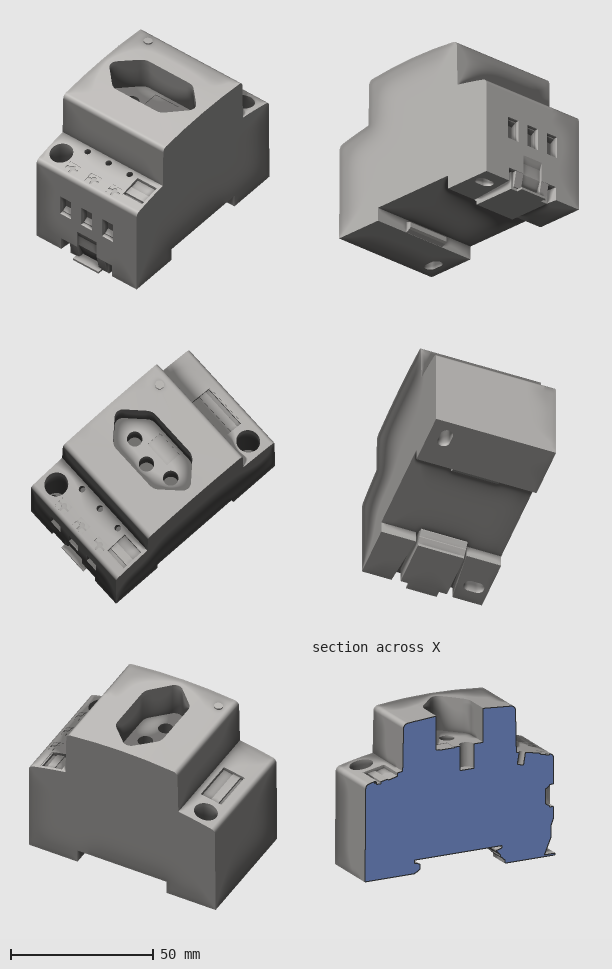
import cadquery as cq
import math

width = 45.0
top_height = 57.5
front_y = -37.4
back_foot_y = 37.6
back_shoulder_y = 37.3

block_half_foot = 22.65
block_half_top = 22.3
crown_radius = 188.7
edge_round = 1.9

shoulder_radius = 150.95
shoulder_apex = 40.6

notch_half = 17.8
notch_height = 5.05

terminal_pitch = 9.4
terminal_xs = [-terminal_pitch, 0, terminal_pitch]


def arc_height(apex, radius, y):
    """Height at y of an arc of the given radius whose highest point is at y = 0."""
    return apex - radius + math.sqrt(radius**2 - y**2)


def crown_z(y):
    return arc_height(top_height, crown_radius, y)


def crown_point(y):
    return (y, crown_z(y))


def shoulder_z(y):
    return arc_height(shoulder_apex, shoulder_radius, y)


def shoulder_point(y):
    return (y, shoulder_z(y))


def prism(points, x_min, x_max):
    """Closed Y-Z outline extruded along X."""
    return cq.Workplane("YZ").workplane(offset=x_min).polyline(points).close().extrude(x_max - x_min)


def surface_plane(x, y, z, radius):
    """Work plane lying on an arched surface, with its normal pointing out of the housing."""
    lean = math.asin(y / radius)
    return cq.Plane(origin=(x, y, z), xDir=(1, 0, 0), normal=(0, math.sin(lean), math.cos(lean)))


def housing():
    shoulder_mid = (block_half_foot - front_y) / 2
    front_corner = shoulder_point(front_y)
    block_front_corner = crown_point(-block_half_top)
    block_back_corner = crown_point(block_half_top)
    back_corner = shoulder_point(back_shoulder_y)
    outline = (
        cq.Workplane("YZ")
        .workplane(offset=-width / 2)
        .moveTo(front_y, 0)
        .lineTo(*front_corner)
        .threePointArc(shoulder_point(-shoulder_mid), shoulder_point(-block_half_foot))
        .lineTo(*block_front_corner)
        .threePointArc((0, top_height), block_back_corner)
        .lineTo(*shoulder_point(block_half_foot))
        .threePointArc(shoulder_point(shoulder_mid), back_corner)
        .lineTo(back_foot_y, 0)
        .lineTo(notch_half, 0)
        .lineTo(notch_half, notch_height)
        .lineTo(-notch_half, notch_height)
        .lineTo(-notch_half, 0)
        .close()
    )
    body = outline.extrude(width)
    for y, z in [front_corner, block_front_corner, block_back_corner, back_corner]:
        body = body.edges(cq.selectors.NearestToPointSelector((0, y, z))).fillet(edge_round)
    return body


socket_half_height = 9.3
socket_half_width = 19.9
socket_floor = 44.7
socket_corner_round = 4.5
socket_end_round = 3.0
contact_diameter = 5.4
contact_offset = 9.5
earth_y = -2.95
contact_depth = 9.05
label_size = (10.2, 5.9)
label_y = 5.05
label_depth = 0.2


def plug_socket():
    flat_half = socket_half_width - socket_half_height
    cavity = (
        cq.Workplane("XY")
        .workplane(offset=socket_floor)
        .polyline(
            [
                (-socket_half_width, 0),
                (-flat_half, socket_half_height),
                (flat_half, socket_half_height),
                (socket_half_width, 0),
                (flat_half, -socket_half_height),
                (-flat_half, -socket_half_height),
            ]
        )
        .close()
        .extrude(top_height - socket_floor)
    )
    cavity = cavity.edges("|Z and (<Y or >Y)").fillet(socket_corner_round)
    cavity = cavity.edges("|Z and (<X or >X)").fillet(socket_end_round)
    floor = cq.Workplane("XY").workplane(offset=socket_floor)
    contacts = (
        floor.pushPoints([(-contact_offset, 0), (contact_offset, 0), (0, earth_y)])
        .circle(contact_diameter / 2)
        .extrude(-contact_depth)
    )
    label = floor.center(0, label_y).rect(*label_size).extrude(-label_depth)
    return cavity.union(contacts).union(label)


button_x = -16.1
button_y = 17.5
button_diameter = 3.2
button_height = 0.6
button_root = 0.75


def button():
    base = surface_plane(button_x, button_y, crown_z(button_y), crown_radius)
    return (
        cq.Workplane(base)
        .workplane(offset=-button_root)
        .circle(button_diameter / 2)
        .extrude(button_root + button_height)
    )


well_diameter = 8.4
well_floor = 7.55
slot_length = 7.55
slot_width = 4.5


def mounting_hole(x, y, slot_angle):
    well = (
        cq.Workplane("XY", origin=(x, y, well_floor))
        .circle(well_diameter / 2)
        .extrude(top_height - well_floor)
    )
    slot = (
        cq.Workplane("XY", origin=(x, y, 0))
        .slot2D(slot_length, slot_width, slot_angle)
        .extrude(well_floor)
    )
    return well.union(slot)


window_inner_y = 24.7
window_step_y = 28.3
window_groove_y = 31.25
window_ledge_y = 32.75
window_outer_y = 33.3
inner_floor = (37.4, 36.45)
outer_floor = (36.9, 36.4)
groove_floor = 35.6
ledge_floor = (36.75, 36.6)


def label_window(x_min, x_max, side):
    """Stepped recess; side is -1 for the front shoulder and +1 for the back one."""
    outline = [
        (window_inner_y, shoulder_apex),
        (window_inner_y, inner_floor[0]),
        (window_step_y, inner_floor[1]),
        (window_step_y, outer_floor[0]),
        (window_groove_y, outer_floor[1]),
        (window_groove_y, groove_floor),
        (window_ledge_y, groove_floor),
        (window_ledge_y, ledge_floor[0]),
        (window_outer_y, ledge_floor[1]),
        (window_outer_y, shoulder_apex),
    ]
    return prism([(side * y, z) for y, z in outline], x_min, x_max)


probe_hole_y = -24.9
probe_hole_diameter = 2.35
probe_hole_depth = 4.5

screw_y = -33.6
screw_recess_size = (4.9, 4.1)
screw_recess_depth = 0.15
screw_slot_depth = 0.45
screw_head_radius = 1.05
screw_head_offset = 0.2
screw_slot_width = 0.7
screw_stem_width = 0.9

mouth_width = 5.0
mouth_bottom = 16.6
mouth_top = 24.75
mouth_depth = 1.5
mouth_lip = 0.4
funnel_width = 4.7
funnel_end_depth = 3.25
funnel_bottom = 18.05
funnel_top = 23.3


def probe_hole(x):
    plane = surface_plane(x, probe_hole_y, shoulder_z(probe_hole_y), shoulder_radius)
    hole = cq.Workplane(plane).circle(probe_hole_diameter / 2)
    return hole.extrude(probe_hole_depth, both=True)


def screw_mark(x):
    """Shallow square recess with a screw slot, round head and stem sunk in its floor."""
    length, depth = screw_recess_size
    plane = cq.Workplane(surface_plane(x, screw_y, shoulder_z(screw_y), shoulder_radius))
    square = plane.rect(length, depth).extrude(screw_recess_depth, both=True)
    bar = plane.rect(length, screw_slot_width).extrude(-screw_slot_depth)
    head = plane.center(0, screw_head_offset).circle(screw_head_radius).extrude(-screw_slot_depth)
    stem = plane.center(0, -depth / 4).rect(screw_stem_width, depth / 2).extrude(-screw_slot_depth)
    return square.union(bar).union(head).union(stem)


def wire_entry(x):
    """Rectangular mouth in the front wall followed by a narrowing funnel."""
    step_y = front_y + mouth_depth
    end_y = front_y + funnel_end_depth
    mouth = prism(
        [(front_y, mouth_bottom), (step_y, mouth_bottom), (step_y, mouth_top), (front_y, mouth_top)],
        x - mouth_width / 2,
        x + mouth_width / 2,
    )
    funnel = prism(
        [
            (step_y, mouth_bottom + mouth_lip),
            (end_y, funnel_bottom),
            (end_y, funnel_top),
            (step_y, mouth_top - mouth_lip),
        ],
        x - funnel_width / 2,
        x + funnel_width / 2,
    )
    return mouth.union(funnel)


channel_half_front = 11.4
channel_half_back = 9.5
slider_half = 8.7
slider_bottom = -1.65
slider_front_y = -35.5
slider_back_y = -18.0
nose_root_z = -0.45
nose_nick_y = -16.2
nose_nick_bottom = 1.1
nose_nick_top = 1.6
nose_tip_y = -14.65
nose_tip_bottom = 3.3
nose_tip_top = 3.8
nose_neck_y = -16.75
nose_neck_z = 4.3
wedge_half = 7.85
wedge_bottom = -0.7
wedge_top_inset = 0.15
wedge_bottom_inset = 1.35
tab_half = 5.7
tab_front_y = -37.9
tab_thickness = 0.8
tab_top = slider_bottom + tab_thickness
grip_half = 4.4
grip_ceiling = 12.2
grip_wall_top = 9.6
grip_wall_bottom = 5.3
grip_wall_depth = 1.0
grip_root_depth = 3.55


def latch_channel():
    return (
        cq.Workplane("XY")
        .polyline(
            [
                (-channel_half_front, front_y),
                (channel_half_front, front_y),
                (channel_half_back, -notch_half),
                (-channel_half_back, -notch_half),
            ]
        )
        .close()
        .extrude(notch_height)
    )


def latch():
    """Slider with a catching nose under the rail notch, a sloped wedge in front and a pull tab."""
    slider = prism(
        [
            (slider_front_y, notch_height),
            (slider_front_y, slider_bottom),
            (slider_back_y, slider_bottom),
            (slider_back_y, nose_root_z),
            (nose_nick_y, nose_nick_bottom),
            (nose_nick_y, nose_nick_top),
            (nose_tip_y, nose_tip_bottom),
            (nose_tip_y, nose_tip_top),
            (nose_neck_y, nose_neck_z),
            (nose_neck_y, notch_height),
        ],
        -slider_half,
        slider_half,
    )
    wedge = prism(
        [
            (front_y + wedge_top_inset, notch_height),
            (front_y + wedge_bottom_inset, wedge_bottom),
            (slider_front_y, wedge_bottom),
            (slider_front_y, notch_height),
        ],
        -wedge_half,
        wedge_half,
    )
    tab = prism(
        [
            (tab_front_y, slider_bottom),
            (slider_front_y, slider_bottom),
            (slider_front_y, tab_top),
            (tab_front_y, tab_top),
        ],
        -tab_half,
        tab_half,
    )
    return slider.union(wedge).union(tab)


def finger_grip():
    """Pocket above the tab: sloped ceiling, short upright wall, then a slope running back to the tab."""
    return prism(
        [
            (front_y, grip_ceiling),
            (front_y + grip_wall_depth, grip_wall_top),
            (front_y + grip_wall_depth, grip_wall_bottom),
            (front_y + grip_root_depth, tab_top),
            (front_y, tab_top),
        ],
        -grip_half,
        grip_half,
    )


hook_half = slider_half
hook_tip_y = 15.6
hook_tip_bottom = 1.5
hook_tip_top = 3.2
hook_root_bottom = 0.1
hook_root_top = 4.1
hook_top_chamfer = 0.4
hook_bottom_chamfer = 0.7


def rail_hook():
    return prism(
        [
            (notch_half, hook_root_top),
            (hook_tip_y + hook_top_chamfer, hook_tip_top + hook_top_chamfer),
            (hook_tip_y, hook_tip_top),
            (hook_tip_y, hook_tip_bottom),
            (hook_tip_y + hook_bottom_chamfer, hook_tip_bottom - hook_bottom_chamfer),
            (notch_half, hook_root_bottom),
        ],
        -hook_half,
        hook_half,
    )


front_well = (-16.9, -30.35)
back_well = (16.4, 30.35)
front_window_x = (12.8, 21.4)
back_window_x = (-7.1, 9.8)

result = housing().cut(plug_socket()).union(button())
result = result.cut(mounting_hole(*front_well, 0)).cut(mounting_hole(*back_well, 90))
result = result.cut(label_window(*front_window_x, -1)).cut(label_window(*back_window_x, 1))
for terminal_x in terminal_xs:
    result = result.cut(probe_hole(terminal_x))
    result = result.cut(screw_mark(terminal_x))
    result = result.cut(wire_entry(terminal_x))
result = result.cut(latch_channel()).union(latch()).cut(finger_grip())
result = result.union(rail_hook())